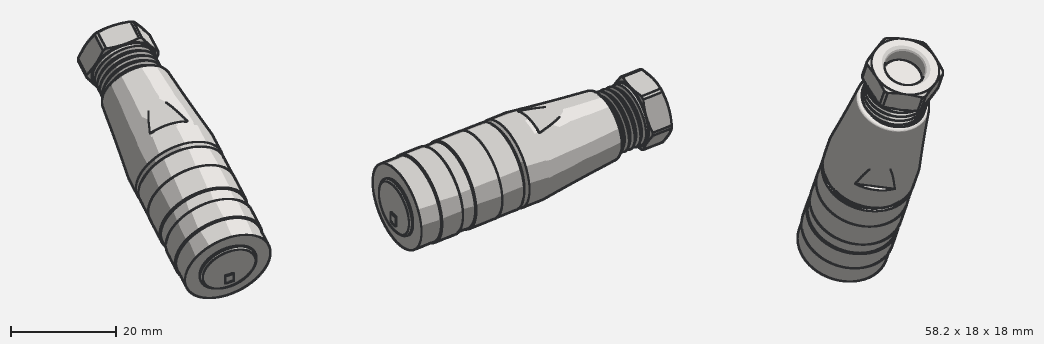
import cadquery as cq
import math

nut_length = 5.0
sleeve_start = 11.25
cone_end = 28.85
band_end = 33.25
groove_start = 33.95
groove_end = 34.4
grip_start = 39.3
grip_end = 45.15
ring_start = 48.2
ring_end = 52.8
shell_end = 57.3
insert_end = 58.0
total_length = 58.25

band_radius = 18.0 / 2
shell_radius = 17.6 / 2
collar_radius = 17.9 / 2
groove_radius = 16.7 / 2
cone_small_radius = 7.1
cone_middle_radius = 8.0
sleeve_edge_radius = 0.4
step_chamfer = 0.2

insert_radius = 5.8
insert_chamfer = 0.4
key_width = 1.75
key_height = 2.2
key_center_z = -2.7

flat_height = 8.0
flat_start = 17.5
flat_end = 27.8

nut_across_flats = 13.15
nut_corner_radius = 7.4
nut_face_radius = 6.6
nut_chamfer_length = 0.35
bore_radius = 3.85
bore_depth = 3.0
bore_mouth_fillet = 1.05

thread_radius = 12.5 / 2
thread_root_radius = 5.6
thread_pitch = 1.3
thread_start = 5.55
thread_start_angle = 217.0
thread_turns = 5
thread_mouth_width = 1.15
thread_root_width = 0.25
cut_overlap = 0.1


def turn_around_x(profile):
    """Close and revolve an (x, radius) profile around the X axis."""
    return profile.close().revolve(360, (0, 0, 0), (1, 0, 0))


def make_body():
    cone_start = sleeve_start + sleeve_edge_radius
    profile = (
        cq.Workplane("XY")
        .moveTo(sleeve_start, 0)
        .lineTo(sleeve_start, cone_small_radius - sleeve_edge_radius)
        .tangentArcPoint((cone_start, cone_small_radius), relative=False)
        .threePointArc(((cone_start + cone_end) / 2, cone_middle_radius), (cone_end, band_radius))
        .lineTo(band_end, band_radius)
        .lineTo(groove_start, groove_radius)
        .lineTo(groove_end, groove_radius)
        .lineTo(groove_end, collar_radius)
        .lineTo(grip_start, collar_radius)
        .lineTo(grip_start, band_radius)
        .lineTo(grip_end, band_radius)
        .lineTo(grip_end + step_chamfer, shell_radius)
        .lineTo(ring_start - step_chamfer, shell_radius)
        .lineTo(ring_start, band_radius)
        .lineTo(ring_end, band_radius)
        .lineTo(ring_end + step_chamfer, shell_radius)
        .lineTo(shell_end, shell_radius)
        .lineTo(shell_end, insert_radius)
        .lineTo(insert_end - insert_chamfer, insert_radius)
        .lineTo(insert_end, insert_radius - insert_chamfer)
        .lineTo(insert_end, 0)
    )
    return turn_around_x(profile)


def make_flat_cutter(side):
    """Block that removes the cone above (side = 1) or below (side = -1) a flat."""
    height = band_radius
    return cq.Workplane("XY").box(
        flat_end - flat_start, 2 * band_radius, height
    ).translate(((flat_start + flat_end) / 2, 0, side * (flat_height + height / 2)))


def make_key():
    return cq.Workplane("XY").box(
        total_length - insert_end, key_width, key_height
    ).translate(((insert_end + total_length) / 2, 0, key_center_z))


def make_nut():
    corner_diameter = nut_across_flats / math.cos(math.pi / 6)
    hexagon = cq.Workplane("YZ").polygon(6, corner_diameter).extrude(nut_length)
    envelope = turn_around_x(
        cq.Workplane("XY")
        .moveTo(0, 0)
        .lineTo(0, nut_face_radius)
        .lineTo(nut_chamfer_length, nut_corner_radius)
        .lineTo(nut_length - nut_chamfer_length, nut_corner_radius)
        .lineTo(nut_length, nut_face_radius)
        .lineTo(nut_length, 0)
    )
    return hexagon.intersect(envelope)


def make_bore():
    mouth_radius = bore_radius + bore_mouth_fillet
    arc_offset = bore_mouth_fillet * (1 - math.sqrt(0.5))
    return turn_around_x(
        cq.Workplane("XY")
        .moveTo(0, 0)
        .lineTo(0, mouth_radius)
        .threePointArc((arc_offset, bore_radius + arc_offset), (bore_mouth_fillet, bore_radius))
        .lineTo(bore_depth, bore_radius)
        .lineTo(bore_depth, 0)
    )


def make_thread():
    """Cylinder with one right-handed helical groove."""
    length = sleeve_start - nut_length
    cylinder = cq.Workplane("YZ").workplane(offset=nut_length).circle(thread_radius).extrude(length)
    helix = cq.Wire.makeHelix(thread_pitch, thread_pitch * thread_turns, thread_root_radius)
    flank_slope = (thread_mouth_width - thread_root_width) / 2 / (thread_radius - thread_root_radius)
    outer_radius = thread_radius + cut_overlap
    outer_half = thread_mouth_width / 2 + cut_overlap * flank_slope
    root_half = thread_root_width / 2
    groove = (
        cq.Workplane("XZ")
        .polyline([
            (thread_root_radius, -root_half),
            (outer_radius, -outer_half),
            (outer_radius, outer_half),
            (thread_root_radius, root_half),
        ])
        .close()
        .sweep(cq.Workplane(obj=helix), isFrenet=True)
    )
    groove = groove.rotate((0, 0, 0), (1, 1, 1), 120)
    groove = groove.rotate((0, 0, 0), (1, 0, 0), thread_start_angle)
    return cylinder.cut(groove.translate((thread_start, 0, 0)))


body = make_body()
for side in (1, -1):
    body = body.cut(make_flat_cutter(side))

result = body.union(make_key()).union(make_thread()).union(make_nut()).cut(make_bore())